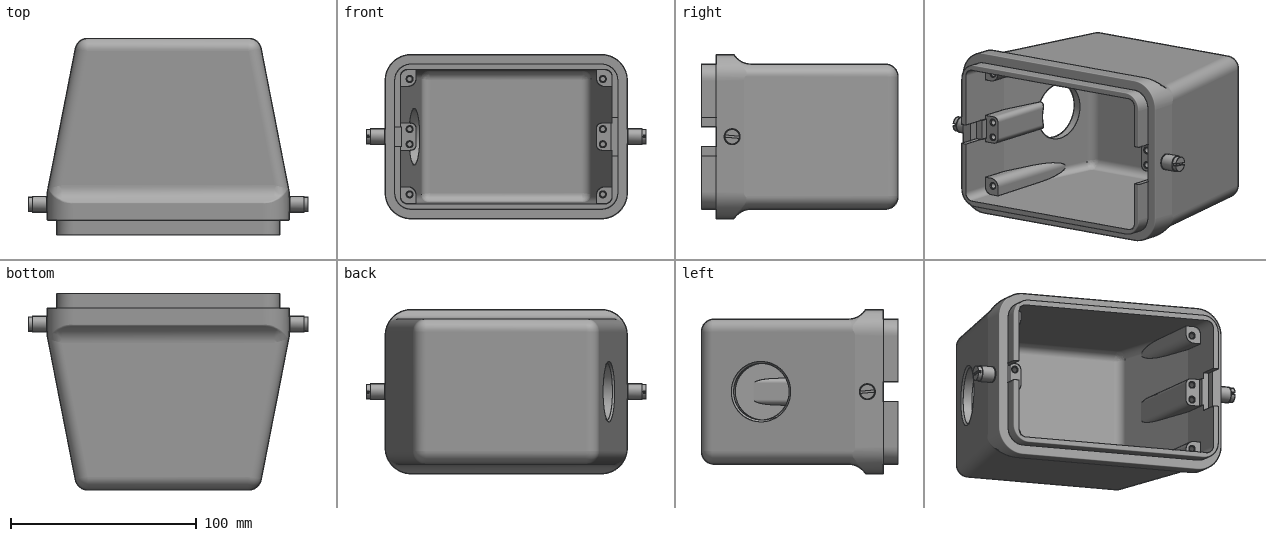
import cadquery as cq
import math

overall_width = 150.8
overall_depth = 106.0
flange_width = 130.5
flange_height = 88.5
flange_corner_radius = 14.0
edge_break = 0.5

ledge = 5.1
collar_depth = 8.0
collar_width = flange_width - 2 * ledge
collar_height = flange_height - 2 * ledge
collar_corner_radius = flange_corner_radius - ledge

hood_height = collar_height
hood_back_width = 98.0
side_start = 23.0
hood_edge_radius = 7.0
side_slope = (flange_width - hood_back_width) / 2 / (overall_depth - side_start)
side_angle = math.degrees(math.atan(side_slope))
flare_start = 26.8
flare_radius = 11.0
flare_edge_radius = 1.0
plate_margin = 2 * flare_radius

mouth_width = 114.2
mouth_height = 72.5
cavity_bend = 34.1
floor_thickness = 9.2
floor_height = 70.5
floor_edge_radius = 5.0
cavity_edge_radius = 4.0
cavity_depth = overall_depth - floor_thickness
floor_width = mouth_width - 2 * side_slope * (cavity_depth - cavity_bend)

post_front = 17.3
post_back = 83.0
post_inner_x = 48.5
middle_post_height = 14.6
middle_post_radius = 2.9
corner_post_bottom = 27.0
corner_post_radius = 4.5
screw_x = 52.0
corner_screw_z = 31.0
middle_screw_z = 4.0
screw_hole_diameter = 2.9
screw_hole_chamfer = 0.5
screw_hole_depth = 9.0

left_notch_height = 10.5
right_notch_height = 20.7
notch_depth = 13.5
notch_inner_x = 55.5
pad_inner_x = 56.4

entry_y = 73.9
entry_radius = 15.2
entry_chamfer = 1.0
entry_length = 12.0

pin_y = 16.6
pin_diameter = 8.6
pin_neck_diameter = 7.8
pin_neck_length = 0.5
pin_tip_length = 2.4
pin_slot_width = 1.2
pin_slot_depth = 1.5
pin_slot_tilt = 5.0
pin_embed = 1.5
pin_root_x = flange_width / 2 - pin_embed


def box(x_range, y_range, z_range):
    """Box between the given pairs of limits."""
    sizes = [high - low for low, high in (x_range, y_range, z_range)]
    return cq.Workplane("XY").box(*sizes, centered=False).translate((x_range[0], y_range[0], z_range[0]))


def centered_slab(width, height, front, back):
    """Box centred on the Y axis."""
    return box((-width / 2, width / 2), (front, back), (-height / 2, height / 2))


def rounded_slab(width, height, front, back, radius):
    """Box centred on the Y axis with its edges along Y rounded."""
    return centered_slab(width, height, front, back).edges("|Y").fillet(radius)


def side_taper(front, height):
    """Solid with the sloping left and right sides, from depth front to the back."""
    front_half = hood_back_width / 2 + side_slope * (overall_depth - front)
    back_half = hood_back_width / 2
    outline = [
        (-front_half, front),
        (front_half, front),
        (back_half, overall_depth),
        (-back_half, overall_depth),
    ]
    return cq.Workplane("XY").polyline(outline).close().extrude(height / 2, both=True)


def make_hood(front):
    """Tapered hood from depth front to the back, rounded on all edges but the front ones."""
    hood = side_taper(front, hood_height)
    front_edges = hood.faces("<Y").edges().vals()
    rounded = [edge for edge in hood.edges().vals() if not any(edge.isSame(e) for e in front_edges)]
    return hood.newObject(rounded).fillet(hood_edge_radius)


def make_flare():
    """Wide plate blended into the hood by the flare radius, before it is trimmed."""
    plate_back = flare_start - flare_radius
    plate_width = flange_width + 2 * plate_margin
    plate_height = flange_height + 2 * plate_margin
    plate = centered_slab(plate_width, plate_height, collar_depth, plate_back)
    flare = plate.union(make_hood(plate_back))
    plate_face = flare.faces("|Y").faces(">Y[-2]").val()
    hood_outline = plate_face.innerWires()[0]
    return flare.newObject(hood_outline.Edges()).fillet(flare_radius)


def make_flange():
    """Flange and hood together: the flare trimmed to the flange outline and the sloping sides."""
    block = rounded_slab(flange_width, flange_height, collar_depth, overall_depth, flange_corner_radius)
    block = block.faces("<Y").edges().fillet(edge_break)
    flange = block.intersect(make_flare())
    crests = flange.faces(">Z or <Z").edges("|X and >Y")
    flange = crests.fillet(flare_edge_radius)
    return flange.intersect(side_taper(collar_depth, flange_height))


def make_collar():
    """Rim that stands forward of the flange face."""
    collar = rounded_slab(collar_width, collar_height, 0, side_start, collar_corner_radius)
    return collar.faces("<Y").edges().fillet(edge_break)


def make_cavity():
    """Straight-sided mouth that narrows past the bend toward a rounded floor."""
    half_mouth = mouth_width / 2
    half_floor = floor_width / 2
    plan = [
        (-half_mouth, 0),
        (half_mouth, 0),
        (half_mouth, cavity_bend),
        (half_floor, cavity_depth),
        (-half_floor, cavity_depth),
        (-half_mouth, cavity_bend),
    ]
    section = [
        (0, -mouth_height / 2),
        (0, mouth_height / 2),
        (cavity_depth, floor_height / 2),
        (cavity_depth, -floor_height / 2),
    ]
    cavity = cq.Workplane("XY").polyline(plan).close().extrude(mouth_height / 2, both=True)
    cavity = cavity.intersect(cq.Workplane("YZ").polyline(section).close().extrude(half_mouth, both=True))
    cavity = cavity.faces(">Y").edges().fillet(floor_edge_radius)
    long_edges = [edge for edge in cavity.edges().vals() if edge.BoundingBox().ylen > 2 * floor_edge_radius]
    return cavity.newObject(long_edges).fillet(cavity_edge_radius)


def make_posts(side):
    """Three screw posts and the notch pad on one side (-1 left, 1 right)."""
    along = (post_front, post_back)
    across = (post_inner_x, flange_width / 2)
    half = middle_post_height / 2
    posts = box(across, along, (-half, half)).edges("|Y and <X").fillet(middle_post_radius)
    corner = box(across, along, (corner_post_bottom, hood_height / 2))
    corner = corner.edges("|Y and <X and <Z").fillet(corner_post_radius)
    posts = posts.union(corner).union(corner.mirror("XY"))
    pad_half = half if side > 0 else left_notch_height / 2
    pad = box((pad_inner_x, flange_width / 2), (notch_depth, post_front), (-pad_half, pad_half))
    posts = posts.union(pad)
    return posts if side > 0 else posts.mirror("YZ")


def make_screw_holes():
    """Blind screw holes with chamfered mouths, all cut from the post fronts."""
    radius = screw_hole_diameter / 2
    mouth_radius = radius + screw_hole_chamfer
    profile = [
        (0, 0),
        (mouth_radius, 0),
        (radius, screw_hole_chamfer),
        (radius, screw_hole_depth),
        (0, screw_hole_depth),
    ]
    hole = cq.Workplane("XY").polyline(profile).close().revolve(360, (0, 0), (0, 1))
    holes = cq.Workplane("XY")
    for x in (-screw_x, screw_x):
        for z in (-corner_screw_z, -middle_screw_z, middle_screw_z, corner_screw_z):
            holes.add(hole.translate((x, post_front, z)).val())
    return holes.combine()


def make_notches():
    """Cuts through the collar at mid-height, sunk into the flange behind it."""
    across = (notch_inner_x, collar_width / 2)
    left_half = left_notch_height / 2
    right_half = right_notch_height / 2
    left = box((-across[1], -across[0]), (0, notch_depth), (-left_half, left_half))
    right = box(across, (0, notch_depth), (-right_half, right_half))
    return left.union(right)


def make_cable_entry():
    """Chamfered bore square to the sloping left side."""
    entry_x = -flange_width / 2 + side_slope * (entry_y - side_start)
    mouth_radius = entry_radius + entry_chamfer
    profile = [
        (0, 0),
        (mouth_radius, 0),
        (entry_radius, entry_chamfer),
        (entry_radius, entry_length),
        (0, entry_length),
    ]
    cutter = cq.Workplane("XY").polyline(profile).close().revolve(360, (0, 0), (0, 1))
    turned = cutter.rotate((0, 0, 0), (0, 0, 1), -90 - side_angle)
    return turned.translate((entry_x, entry_y, 0))


def make_pin():
    """Right-hand locking pin with a necked root, a reduced tip and a driver slot."""
    tip_x = overall_width / 2
    body_start = flange_width / 2 + pin_neck_length
    body_end = tip_x - pin_tip_length
    plane = cq.Workplane("YZ", origin=(0, pin_y, 0))
    pin = plane.workplane(offset=pin_root_x).circle(pin_neck_diameter / 2).extrude(tip_x - pin_root_x)
    body = plane.workplane(offset=body_start).circle(pin_diameter / 2).extrude(body_end - body_start)
    slot = (
        plane.workplane(offset=tip_x - pin_slot_depth)
        .transformed(rotate=(0, 0, -pin_slot_tilt))
        .rect(2 * pin_diameter, pin_slot_width)
        .extrude(pin_slot_depth)
    )
    return pin.union(body).cut(slot)


outer = make_flange().union(make_collar())
shell = outer.cut(make_cavity())
for side in (-1, 1):
    shell = shell.union(make_posts(side).intersect(outer))

pin = make_pin()
result = (
    shell.cut(make_screw_holes())
    .cut(make_notches())
    .cut(make_cable_entry())
    .union(pin)
    .union(pin.mirror("YZ"))
)